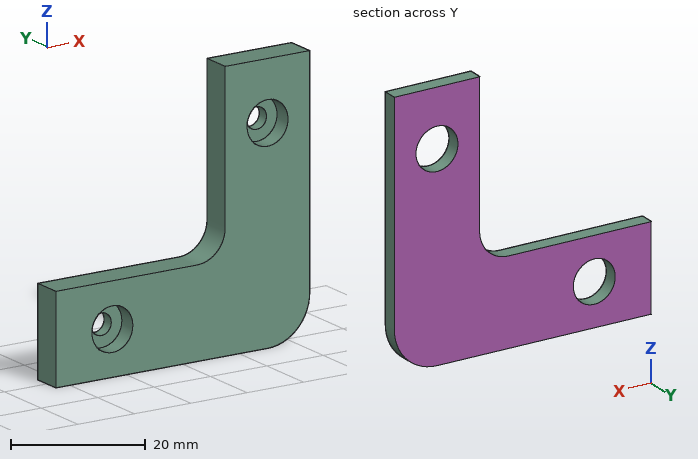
import cadquery as cq

side = 45.0
thickness = side / 9
leg_width = side / 3
inner_radius = thickness
outer_radius = leg_width / 2

hole_diameter = 3.5
bore_diameter = 7.25
bore_depth = 0.6 * thickness
hole_from_end = 2 * thickness
hole_places = [
    (hole_from_end, leg_width / 2),
    (side - leg_width / 2, side - hole_from_end),
]


def bracket_plate():
    """L plate in the XZ plane, front face at Y = 0, rounded at both corners of the bend."""
    inner_x = side - leg_width
    outline = [
        (0, 0),
        (side, 0),
        (side, side),
        (inner_x, side),
        (inner_x, leg_width),
        (0, leg_width),
    ]
    plate = cq.Workplane("XZ").polyline(outline).close().extrude(-thickness)
    inner_edge = cq.selectors.NearestToPointSelector((inner_x, thickness / 2, leg_width))
    outer_edge = cq.selectors.NearestToPointSelector((side, thickness / 2, 0))
    plate = plate.edges("|Y").edges(inner_edge).fillet(inner_radius)
    return plate.edges("|Y").edges(outer_edge).fillet(outer_radius)


def front_cylinders(diameter, depth):
    """Cylinders at the hole places, running from the front face into the plate."""
    return cq.Workplane("XZ").pushPoints(hole_places).circle(diameter / 2).extrude(-depth)


through_holes = front_cylinders(hole_diameter, thickness)
counterbores = front_cylinders(bore_diameter, bore_depth)
result = bracket_plate().cut(through_holes).cut(counterbores)